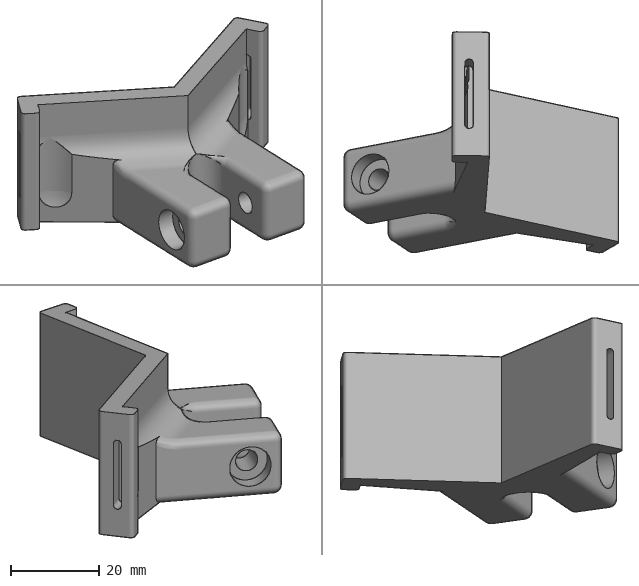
import cadquery as cq
import math

HEIGHT = 30.0
LENGTH = 45.8

WING_ANGLE = math.radians(30)
APEX_X = 17.6
PLATE_THICKNESS = 4.5
WING_LENGTH = 35.95
HOOK_THICKNESS = 4.3
HOOK_DEPTH = 8.4
HOOK_INNER = WING_LENGTH - HOOK_THICKNESS
CORNER_RADIUS = 1.0

FORK_HALF_WIDTH = 16.5
FORK_HEIGHT = HEIGHT / 2
WEB_END_X = 16.4
WEB_ROOT_STEP = 0.35
GAP_RADIUS = 4.55
GAP_CENTER_X = 30.35
ARM_FILLET = 1.95
ROOT_RADIUS = 6.5

FADE_END = math.radians(90)
FADE_STOP = math.radians(75)
FADE_SECTIONS = 6

HOLE_X = 38.25
HOLE_Z = FORK_HEIGHT / 2
HOLE_DIAMETER = 5.1
COUNTERBORE_DIAMETER = 9.6
COUNTERBORE_DEPTH = 4.0

SLOT_WIDTH = 1.9
SLOT_OFFSET = 4.6
SLOT_BOTTOM_Z = 7.55
SLOT_TOP_Z = 22.45
POCKET_RADIUS = 9.15
POCKET_ALONG = 29.0

OVERCUT = 0.7


def wing_point(along, out):
    """Plan position on the +Y wing, from distances along it and out from its front face."""
    s = math.sin(WING_ANGLE)
    c = math.cos(WING_ANGLE)
    return (APEX_X - along * s + out * c, along * c + out * s)


def mirrored(body):
    return body.union(body.mirror("XZ"))


def wing_prism(along_start, along_end, out_start, out_end):
    """Full-height block squared to the +Y wing."""
    corners = [
        wing_point(along_start, out_start),
        wing_point(along_end, out_start),
        wing_point(along_end, out_end),
        wing_point(along_start, out_end),
    ]
    return cq.Workplane("XY").polyline(corners).close().extrude(HEIGHT)


INNER_APEX_X = APEX_X + PLATE_THICKNESS / math.cos(WING_ANGLE)


def make_plate():
    outline = [
        (APEX_X, 0),
        wing_point(WING_LENGTH, 0),
        wing_point(WING_LENGTH, HOOK_DEPTH),
        wing_point(HOOK_INNER, HOOK_DEPTH),
        wing_point(HOOK_INNER, PLATE_THICKNESS),
        (INNER_APEX_X, 0),
    ]
    wing = cq.Workplane("XY").polyline(outline).close().extrude(HEIGHT)
    for along, out in ((WING_LENGTH, 0), (WING_LENGTH, HOOK_DEPTH), (HOOK_INNER, HOOK_DEPTH)):
        x, y = wing_point(along, out)
        corner = cq.selectors.NearestToPointSelector((x, y, HEIGHT / 2))
        wing = wing.edges(corner).fillet(CORNER_RADIUS)
    return mirrored(wing)


def root_sweep():
    """Block on the +Y wing whose top is the concave blend from plate down to fork."""
    x, y = wing_point(0, 0)
    across = (math.cos(WING_ANGLE), math.sin(WING_ANGLE), 0)
    inward = (math.sin(WING_ANGLE), -math.cos(WING_ANGLE), 0)
    plane = cq.Plane(origin=(x, y, 0), xDir=across, normal=inward)
    blend_end = PLATE_THICKNESS + ROOT_RADIUS
    diagonal = ROOT_RADIUS * (1 - math.sqrt(0.5))
    profile = (
        cq.Workplane(plane)
        .moveTo(PLATE_THICKNESS / 2, 0)
        .lineTo(blend_end + LENGTH, 0)
        .lineTo(blend_end + LENGTH, FORK_HEIGHT)
        .lineTo(blend_end, FORK_HEIGHT)
        .threePointArc(
            (PLATE_THICKNESS + diagonal, FORK_HEIGHT + diagonal),
            (PLATE_THICKNESS, FORK_HEIGHT + ROOT_RADIUS),
        )
        .lineTo(PLATE_THICKNESS / 2, FORK_HEIGHT + ROOT_RADIUS)
        .close()
    )
    return profile.extrude(LENGTH, both=True)


def make_fork():
    half_plan = [
        (APEX_X + PLATE_THICKNESS / 2, 0),
        wing_point(HOOK_INNER, PLATE_THICKNESS / 2),
        wing_point(HOOK_INNER, PLATE_THICKNESS + WEB_ROOT_STEP),
        (WEB_END_X, FORK_HALF_WIDTH),
        (LENGTH, FORK_HALF_WIDTH),
        (LENGTH, 0),
    ]
    half = cq.Workplane("XY").polyline(half_plan).close().extrude(HEIGHT)
    return mirrored(half.intersect(root_sweep()))


def cut_straight_gap(body):
    length = LENGTH + OVERCUT - GAP_CENTER_X
    gap = (
        cq.Workplane("XY")
        .center(GAP_CENTER_X + length / 2, 0)
        .rect(length, 2 * GAP_RADIUS)
        .extrude(HEIGHT)
    )
    return body.cut(gap)


def cut_round_gap(body):
    return body.cut(cq.Workplane("XY").center(GAP_CENTER_X, 0).circle(GAP_RADIUS).extrude(HEIGHT))


def fork_top(x, y):
    """Height of the fork at a plan position, including the blend up to the plate."""
    out = (x - APEX_X) * math.cos(WING_ANGLE) + y * math.sin(WING_ANGLE)
    reach = max(0, PLATE_THICKNESS + ROOT_RADIUS - out)
    return FORK_HEIGHT + ROOT_RADIUS - math.sqrt(ROOT_RADIUS**2 - reach**2)


def fade_section(turn, upper):
    """Outline of the material removed by the fading fillet, after a given turn round the gap."""
    size = ARM_FILLET * (1 - turn / FADE_END) ** 2
    radial = (-math.sin(turn), math.cos(turn), 0)
    x = GAP_CENTER_X + GAP_RADIUS * radial[0]
    y = GAP_RADIUS * radial[1]
    edge_z = fork_top(x, y) if upper else 0
    side = 1 if upper else -1
    tangent = (math.cos(turn), math.sin(turn), 0)
    plane = cq.Plane(origin=(x, y, edge_z), xDir=radial, normal=tangent)
    bulge = size * (1 - math.sqrt(0.5))
    profile = (
        cq.Workplane(plane)
        .moveTo(-size / 2, -side * size)
        .lineTo(0, -side * size)
        .threePointArc((bulge, -side * bulge), (size, 0))
        .lineTo(size, side * size / 2)
        .lineTo(-size / 2, side * size / 2)
        .close()
    )
    return profile.wires().val()


def make_fillet_fade():
    """Cutter that continues the arm fillets round the gap, shrinking towards its middle."""
    turns = [FADE_STOP * i / (FADE_SECTIONS - 1) for i in range(FADE_SECTIONS)]
    upper = cq.Solid.makeLoft([fade_section(turn, True) for turn in turns])
    lower = cq.Solid.makeLoft([fade_section(turn, False) for turn in turns])
    return cq.Workplane("XY").newObject([upper]).union(cq.Workplane("XY").newObject([lower]))


def round_arms(body):
    end_edges = body.faces(">X").edges()
    arm_span = cq.selectors.BoxSelector(
        (GAP_CENTER_X, -LENGTH, -OVERCUT), (LENGTH - OVERCUT, LENGTH, FORK_HEIGHT + OVERCUT)
    )
    long_edges = body.edges("|X").edges(arm_span)
    return body.newObject(end_edges.vals() + long_edges.vals()).fillet(ARM_FILLET)


def cut_cross_holes(body):
    def drill(diameter, y_start, y_end):
        return (
            cq.Workplane("XZ", origin=(0, y_end, 0))
            .center(HOLE_X, HOLE_Z)
            .circle(diameter / 2)
            .extrude(y_end - y_start)
        )

    hole = drill(HOLE_DIAMETER, 0, FORK_HALF_WIDTH)
    counterbore = drill(
        COUNTERBORE_DIAMETER, FORK_HALF_WIDTH - COUNTERBORE_DEPTH, FORK_HALF_WIDTH + OVERCUT
    )
    return body.cut(mirrored(hole.union(counterbore)))


def make_pocket():
    """Round-ended upright clearance, tangent to the wing and stopped by the hook."""
    x, y = wing_point(POCKET_ALONG, PLATE_THICKNESS + POCKET_RADIUS)
    capsule = (
        cq.Workplane("XY", origin=(x, y, SLOT_BOTTOM_Z))
        .circle(POCKET_RADIUS)
        .extrude(SLOT_TOP_Z - SLOT_BOTTOM_Z)
    )
    for z in (SLOT_BOTTOM_Z, SLOT_TOP_Z):
        capsule = capsule.union(cq.Workplane("XY", origin=(x, y, z)).sphere(POCKET_RADIUS))
    bounds = wing_prism(0, HOOK_INNER, PLATE_THICKNESS, PLATE_THICKNESS + 2 * POCKET_RADIUS)
    return capsule.intersect(bounds)


def make_slot():
    x, y = wing_point(HOOK_INNER, SLOT_OFFSET)
    along = (-math.sin(WING_ANGLE), math.cos(WING_ANGLE), 0)
    middle_z = (SLOT_BOTTOM_Z + SLOT_TOP_Z) / 2
    plane = cq.Plane(origin=(x, y, middle_z), xDir=(0, 0, 1), normal=along)
    slot_length = SLOT_TOP_Z - SLOT_BOTTOM_Z + SLOT_WIDTH
    return cq.Workplane(plane).slot2D(slot_length, SLOT_WIDTH).extrude(HOOK_THICKNESS + OVERCUT)


bracket = make_plate().union(make_fork())
bracket = round_arms(cut_straight_gap(bracket))
bracket = cut_round_gap(bracket).cut(mirrored(make_fillet_fade()))
bracket = cut_cross_holes(bracket)
result = bracket.cut(mirrored(make_pocket())).cut(mirrored(make_slot()))